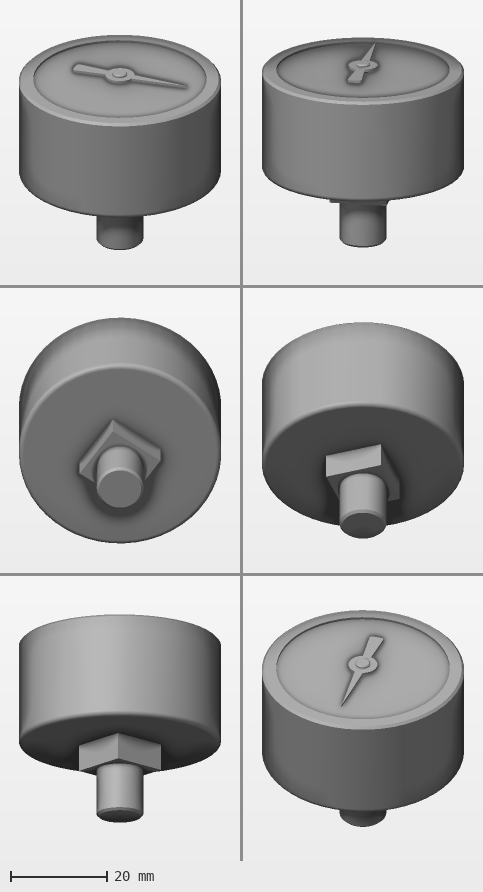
import cadquery as cq

case_diameter = 42.0
case_height = 22.0
case_bottom_fillet = 1.0
case_rim_chamfer = 0.5
dial_diameter = 36.0
dial_depth = 0.5

square_width = 12.0
square_height = 5.5
stem_diameter = 9.7
stem_length = 10.0
stem_chamfer = 0.5

pointer_thickness = 0.5
pointer_clearance = 0.5
hub_diameter = 6.0
tip_reach = 15.0
tail_reach = 10.0
tail_half_width = 1.5
tail_corner_fillet = 0.5
arm_root_x = 2.85
arm_root_half_width = 0.9

pin_diameter = 2.0
pin_head_diameter = 3.0
pin_head_top_diameter = 2.5
pin_head_height = 0.5

dial_z = case_height - dial_depth
pointer_z = case_height + pointer_clearance
pin_head_z = pointer_z + pointer_thickness


def cylinder(diameter, height, base_z):
    return cq.Workplane("XY").workplane(offset=base_z).circle(diameter / 2).extrude(height)


def make_case():
    case = cylinder(case_diameter, case_height, 0)
    case = case.faces("<Z").edges().fillet(case_bottom_fillet)
    case = case.faces(">Z").edges().chamfer(case_rim_chamfer)
    return case.cut(cylinder(dial_diameter, dial_depth, dial_z))


def make_connection():
    square = cq.Workplane("XY").rect(square_width, square_width).extrude(-square_height)
    stem = cylinder(stem_diameter, stem_length, -square_height - stem_length)
    return square.union(stem.faces("<Z").edges().chamfer(stem_chamfer))


def make_pointer():
    outline = [
        (tip_reach, 0),
        (arm_root_x, arm_root_half_width),
        (-arm_root_x, arm_root_half_width),
        (-tail_reach, tail_half_width),
        (-tail_reach, -tail_half_width),
        (-arm_root_x, -arm_root_half_width),
        (arm_root_x, -arm_root_half_width),
    ]
    arms = cq.Workplane("XY").workplane(offset=pointer_z).polyline(outline).close()
    arms = arms.extrude(pointer_thickness)
    arms = arms.faces("<X").edges("|Z").fillet(tail_corner_fillet)
    return arms.union(cylinder(hub_diameter, pointer_thickness, pointer_z))


def make_pin():
    shank = cylinder(pin_diameter, pin_head_z - dial_z, dial_z)
    head = cylinder(pin_head_diameter, pin_head_height, pin_head_z)
    head_chamfer = (pin_head_diameter - pin_head_top_diameter) / 2
    return shank.union(head.faces(">Z").edges().chamfer(head_chamfer))


result = make_case().union(make_connection()).union(make_pin()).union(make_pointer())